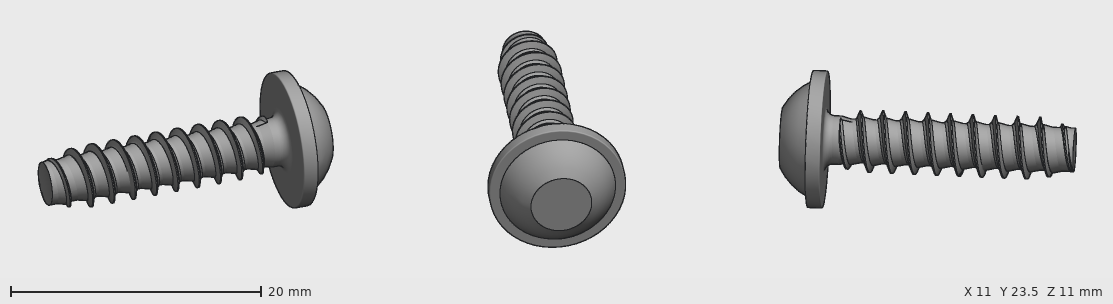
import math

import cadquery as cq


flange_radius = 5.5
flange_thickness = 1.2
flange_edge_radius = 0.1
head_height = 3.5
dome_base_radius = 4.66
dome_top_radius = 2.45

shank_length = 20.0
neck_radius = 1.95
neck_fillet_radius = 0.7
core_radius = 1.75
neck_length = 1.23
taper_end_depth = 2.2
taper_end_radius = 1.7
tip_dish_radius = 1.65
tip_dish_depth = 0.1

pitch = 1.8
crest_radius = 2.5
crest_width = 0.1
flank_knee_radius = 1.95
flank_knee_offset = 0.26
flank_foot_radius = 1.71
flank_foot_offset = 0.5
ridge_radius = 1.94
ridge_end_radius = 1.7
ridge_end_offset = 1.25
buried_radius = 1.3
first_crest_depth = 1.105
lead_in_turns = 1.25
lead_in_drop = 0.3
run_out_start_depth = 17.2
run_out_drop_per_turn = 0.5
ridge_fade_start_depth = 18.2
ridge_drop_per_turn = 0.2
thread_overrun = 0.3
core_overrun = 1.0

samples_per_turn = 16


def make_head_and_neck():
    """Domed head, flange, under-head fillet, neck and its taper as one revolved body."""
    dome_center_y = (
        dome_top_radius**2 + head_height**2 - dome_base_radius**2 - flange_thickness**2
    ) / (2 * (head_height - flange_thickness))
    sphere_radius = math.hypot(dome_top_radius, head_height - dome_center_y)
    dome_mid_y = (head_height + flange_thickness) / 2
    dome_mid_radius = math.sqrt(sphere_radius**2 - (dome_mid_y - dome_center_y) ** 2)

    fillet_center_radius = neck_radius + neck_fillet_radius
    fillet_mid_step = neck_fillet_radius * math.sqrt(0.5)
    rim_radius = flange_radius - flange_edge_radius
    edge_mid_step = flange_edge_radius * (1 - math.sqrt(0.5))

    outline = (
        cq.Workplane("XY")
        .moveTo(0, head_height)
        .lineTo(dome_top_radius, head_height)
        .threePointArc((dome_mid_radius, dome_mid_y), (dome_base_radius, flange_thickness))
        .lineTo(rim_radius, flange_thickness)
        .threePointArc(
            (flange_radius - edge_mid_step, flange_thickness - edge_mid_step),
            (flange_radius, flange_thickness - flange_edge_radius),
        )
        .lineTo(flange_radius, flange_edge_radius)
        .threePointArc((flange_radius - edge_mid_step, edge_mid_step), (rim_radius, 0))
        .lineTo(fillet_center_radius, 0)
        .threePointArc(
            (fillet_center_radius - fillet_mid_step, fillet_mid_step - neck_fillet_radius),
            (neck_radius, -neck_fillet_radius),
        )
        .lineTo(neck_radius, -neck_length)
        .lineTo(taper_end_radius, -taper_end_depth)
        .lineTo(0, -taper_end_depth)
        .close()
    )
    return outline.revolve(360, (0, 0, 0), (0, 1, 0))


def turn_at_depth(depth):
    """Number of turns after which the crest reaches a depth; turn 0 is its first +Z pass."""
    return (depth - first_crest_depth) / pitch


def thread_drop(turn):
    """Radial sinking of the thread in its lead-in and run-out."""
    lead_in = lead_in_drop * max(0, 1 - turn / lead_in_turns)
    run_out = run_out_drop_per_turn * max(0, turn - turn_at_depth(run_out_start_depth))
    return lead_in + run_out


def ridge_drop(turn):
    """Radial sinking of the ridge close to the tip."""
    return ridge_drop_per_turn * max(0, turn - turn_at_depth(ridge_fade_start_depth))


def helix_edge(offset, radius, drop_at, turns):
    """Right-handed helical edge, axially offset from the crest line and sunk by drop_at(turn)."""
    sample_count = math.ceil(turns * samples_per_turn)
    points = []
    for i in range(sample_count + 1):
        turn = turns * i / sample_count
        angle = 2 * math.pi * turn
        sunk_radius = radius - drop_at(turn)
        depth = first_crest_depth + pitch * turn + offset
        points.append(cq.Vector(-sunk_radius * math.sin(angle), -depth, sunk_radius * math.cos(angle)))
    return cq.Edge.makeSpline(points)


def make_thread():
    """Thread and ridge as one helical solid, bounded by ruled faces between helical edges."""
    half_crest = crest_width / 2
    profile = [
        (-flank_foot_offset, buried_radius, thread_drop),
        (-flank_foot_offset, flank_foot_radius, thread_drop),
        (-flank_knee_offset, flank_knee_radius, thread_drop),
        (-half_crest, crest_radius, thread_drop),
        (half_crest, crest_radius, thread_drop),
        (flank_knee_offset, ridge_radius, ridge_drop),
        (ridge_end_offset, ridge_end_radius, ridge_drop),
        (ridge_end_offset, buried_radius, thread_drop),
    ]
    turns = turn_at_depth(shank_length + thread_overrun)
    edges = [helix_edge(offset, radius, drop_at, turns) for offset, radius, drop_at in profile]
    next_edges = edges[1:] + edges[:1]
    faces = [cq.Face.makeRuledSurface(edge, next_edge) for edge, next_edge in zip(edges, next_edges)]
    for end in (0, 1):
        corners = [edge.positionAt(end) for edge in edges]
        faces.append(cq.Face.makeFromWires(cq.Wire.makePolygon(corners, close=True)))
    thread = cq.Solid.makeSolid(cq.Shell.makeShell(faces))
    return cq.Workplane(thread.fix())


def rod(radius, start_depth, end_depth):
    """Cylinder on the screw axis between two depths."""
    return cq.Workplane("XZ", origin=(0, -start_depth, 0)).circle(radius).extrude(end_depth - start_depth)


def make_threaded_length():
    """Core with its thread, trimmed at the start of the thread and flush with the tip."""
    core = rod(core_radius, 0, shank_length + core_overrun)
    return core.union(make_thread()).intersect(rod(2 * crest_radius, neck_length, shank_length))


def make_tip_dish():
    """Shallow spherical cap that hollows the end face."""
    sphere_radius = (tip_dish_radius**2 + tip_dish_depth**2) / (2 * tip_dish_depth)
    center_y = tip_dish_depth - shank_length - sphere_radius
    return cq.Workplane("XY").sphere(sphere_radius).translate((0, center_y, 0))


head_and_neck = make_head_and_neck()
threaded_length = make_threaded_length()
result = head_and_neck.union(threaded_length).cut(make_tip_dish())